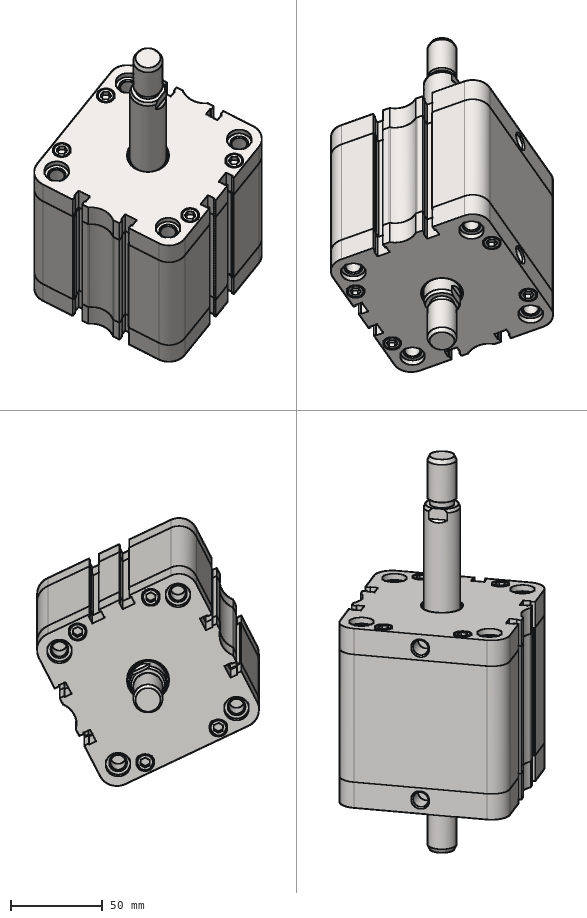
import cadquery as cq
import math


housing_width = 95.5
half_width = housing_width / 2
corner_radius = 10.3
cap_thickness = 15.0
barrel_length = 74.0
housing_length = barrel_length + 2 * cap_thickness

slot_inner_edge = 12.1
side_slot_inner_edge = 6.2
barrel_mouth_width = 5.4
cap_slot_clearance = 0.6
slot_undercut = 0.7
slot_head_height = 4.2
slot_mouth_depth = 2.7
side_slot_mouth_depth = 1.3
slot_mouth_chamfer = 0.6

groove_radius = 25.0 / 2
groove_half_width = 8.0
groove_edge_fillet = 1.2
groove_centre = half_width + math.sqrt(groove_radius**2 - groove_half_width**2)

mount_spacing = 72.0
mount_counterbore_diameter = 13.5
mount_counterbore_depth = 3.5
mount_mouth_diameter = 9.8
mount_hole_diameter = 8.38

screw_spacing_x = 83.0
screw_spacing_y = 44.5
screw_recess_diameter = 9.8
screw_head_diameter = 8.5
screw_gap_depth = 2.0
hex_across_flats = 5.0
hex_depth = 3.0

port_height = 8.0
port_mouth_diameter = 10.3
port_diameter = 8.57
port_depth = 12.0

rod_diameter = 20.0
upper_rod_length = 59.0
lower_rod_length = 9.0
rod_end_chamfer_length = 2.0
rod_end_chamfer = 0.9
wiper_recess_diameter = 21.9
wiper_mouth_diameter = 23.0
wiper_recess_depth = 2.0
thread_length = 28.0
thread_diameter = 16.0
relief_diameter = 13.5
relief_length = 3.0
relief_chamfer_length = 0.6
tip_chamfer_length = 2.6
tip_diameter = 13.5
wrench_width = 17.0
wrench_flat_length = 6.2
wrench_runout = (rod_diameter - wrench_width) / 2


def grid(spacing_x, spacing_y):
    """Four points of a rectangle centred on the axis."""
    return [(sx * spacing_x / 2, sy * spacing_y / 2) for sx in (-1, 1) for sy in (-1, 1)]


def slot_cutter(inner_edge, mouth_width, mouth_depth, length, mouth_chamfer):
    """T-shaped slot in the +Y face, at positive X."""
    outer_edge = inner_edge + mouth_width
    mouth_floor = half_width - mouth_depth
    slot_floor = mouth_floor - slot_head_height
    outline = (
        cq.Workplane("XY")
        .moveTo(inner_edge, half_width)
        .lineTo(inner_edge, mouth_floor)
        .lineTo(inner_edge - slot_undercut, mouth_floor)
        .lineTo(inner_edge - slot_undercut, slot_floor)
        .lineTo(outer_edge + slot_undercut, slot_floor)
        .lineTo(outer_edge + slot_undercut, mouth_floor)
        .lineTo(outer_edge, mouth_floor)
    )
    if mouth_chamfer:
        outline = outline.lineTo(outer_edge, half_width - mouth_chamfer)
    return outline.lineTo(outer_edge + mouth_chamfer, half_width).close().extrude(length)


def both_sides(cutter, plane):
    """Cutter joined with its mirror image."""
    return cutter.union(cutter.mirror(plane))


def groove_cutter(length):
    """Round groove in the +Y face."""
    return cq.Workplane("XY").center(0, groove_centre).circle(groove_radius).extrude(length)


def housing_block(length, mouth_width, mouth_chamfer):
    """Length of the square housing section, with its slots and grooves."""
    block = (
        cq.Workplane("XY")
        .rect(housing_width, housing_width)
        .extrude(length)
        .edges("|Z")
        .fillet(corner_radius)
    )
    face_slot = slot_cutter(
        slot_inner_edge, mouth_width, slot_mouth_depth, length, mouth_chamfer
    )
    face_slots = both_sides(face_slot, "YZ")
    side_slot = slot_cutter(
        side_slot_inner_edge, mouth_width, side_slot_mouth_depth, length, mouth_chamfer
    )
    side_slots = both_sides(side_slot, "YZ").rotate((0, 0, 0), (0, 0, 1), -90)
    grooves = both_sides(groove_cutter(length), "XZ")
    return block.cut(both_sides(face_slots, "XZ")).cut(side_slots).cut(grooves)


def cone_hole(bottom_z, top_z, bottom_diameter, top_diameter):
    """Cutter along Z, tapered between two diameters."""
    return cq.Workplane("XY").add(
        cq.Solid.makeCone(
            bottom_diameter / 2, top_diameter / 2, top_z - bottom_z, pnt=cq.Vector(0, 0, bottom_z)
        )
    )


def make_barrel():
    """Middle section with rounded groove edges and a bore for the rods."""
    barrel = housing_block(barrel_length, barrel_mouth_width, slot_mouth_chamfer)
    for x, y in grid(2 * groove_half_width, housing_width):
        groove_edge = cq.selectors.NearestToPointSelector((x, y, barrel_length / 2))
        barrel = barrel.edges("|Z").edges(groove_edge).fillet(groove_edge_fillet)
    rod_bore = cq.Workplane("XY").circle(rod_diameter / 2).extrude(barrel_length)
    return barrel.cut(rod_bore).translate((0, 0, cap_thickness))


def mount_hole_cutter():
    """Corner hole through the cap: counterbore, then a chamfered thread hole."""
    mouth_z = cap_thickness - mount_counterbore_depth
    chamfer_length = (mount_mouth_diameter - mount_hole_diameter) / 2
    hole = cq.Workplane("XY").circle(mount_hole_diameter / 2).extrude(cap_thickness)
    chamfer = cone_hole(mouth_z - chamfer_length, mouth_z, mount_hole_diameter, mount_mouth_diameter)
    counterbore = (
        cq.Workplane("XY", origin=(0, 0, mouth_z))
        .circle(mount_counterbore_diameter / 2)
        .extrude(mount_counterbore_depth)
    )
    return hole.union(chamfer).union(counterbore)


def screw_cutter():
    """Ring-shaped gap around a screw head, with the hexagon socket in the head."""
    gap = (
        cq.Workplane("XY", origin=(0, 0, cap_thickness - screw_gap_depth))
        .circle(screw_recess_diameter / 2)
        .circle(screw_head_diameter / 2)
        .extrude(screw_gap_depth)
    )
    hex_socket = (
        cq.Workplane("XY", origin=(0, 0, cap_thickness - hex_depth))
        .transformed(rotate=(0, 0, 90))
        .polygon(6, hex_across_flats / math.cos(math.pi / 6))
        .extrude(hex_depth)
    )
    return gap.union(hex_socket)


def port_cutter():
    """Air port in the -X face, chamfered at its mouth."""
    chamfer_length = (port_mouth_diameter - port_diameter) / 2
    hole = cq.Workplane("XY").circle(port_diameter / 2).extrude(port_depth)
    chamfer = cone_hole(0, chamfer_length, port_mouth_diameter, port_diameter)
    return (
        hole.union(chamfer)
        .rotate((0, 0, 0), (0, 1, 0), 90)
        .translate((-half_width, 0, cap_thickness - port_height))
    )


def rod_hole_cutter():
    """Rod hole through the cap, with the wiper recess at the outer face."""
    chamfer_length = (wiper_mouth_diameter - wiper_recess_diameter) / 2
    hole = cq.Workplane("XY").circle(rod_diameter / 2).extrude(cap_thickness)
    recess = (
        cq.Workplane("XY", origin=(0, 0, cap_thickness - wiper_recess_depth))
        .circle(wiper_recess_diameter / 2)
        .extrude(wiper_recess_depth)
    )
    chamfer = cone_hole(
        cap_thickness - chamfer_length, cap_thickness, wiper_recess_diameter, wiper_mouth_diameter
    )
    return hole.union(recess).union(chamfer)


def make_cap():
    """End cap with its inner face at Z = 0 and its outer face up."""
    cap = housing_block(cap_thickness, barrel_mouth_width + cap_slot_clearance, 0)
    for x, y in grid(mount_spacing, mount_spacing):
        cap = cap.cut(mount_hole_cutter().translate((x, y, 0)))
    for x, y in grid(screw_spacing_x, screw_spacing_y):
        cap = cap.cut(screw_cutter().translate((x, y, 0)))
    return cap.cut(port_cutter()).cut(rod_hole_cutter())


def make_rod(exposed_length):
    """Rod pointing up, from the middle of the housing (Z = 0) to its threaded tip."""
    shoulder_z = housing_length / 2 + exposed_length
    relief_end_z = shoulder_z + relief_length
    tip_z = shoulder_z + thread_length
    rod_radius = rod_diameter / 2
    thread_radius = thread_diameter / 2
    rod = (
        cq.Workplane("XZ")
        .moveTo(0, 0)
        .lineTo(rod_radius, 0)
        .lineTo(rod_radius, shoulder_z - rod_end_chamfer_length)
        .lineTo(rod_radius - rod_end_chamfer, shoulder_z)
        .lineTo(relief_diameter / 2, shoulder_z)
        .lineTo(relief_diameter / 2, relief_end_z)
        .lineTo(thread_radius, relief_end_z + relief_chamfer_length)
        .lineTo(thread_radius, tip_z - tip_chamfer_length)
        .lineTo(tip_diameter / 2, tip_z)
        .lineTo(0, tip_z)
        .close()
        .revolve(360, (0, 0, 0), (0, 1, 0))
    )
    flat_end_z = shoulder_z - wrench_flat_length
    wrench_flat = (
        cq.Workplane("XZ")
        .polyline([
            (wrench_width / 2, shoulder_z),
            (wrench_width / 2, flat_end_z),
            (rod_radius, flat_end_z - wrench_runout),
            (rod_radius, shoulder_z),
        ])
        .close()
        .extrude(rod_radius, both=True)
    )
    return rod.cut(both_sides(wrench_flat, "YZ"))


barrel = make_barrel()

upper_cap = make_cap().translate((0, 0, housing_length - cap_thickness))
lower_cap = make_cap().mirror("XY").translate((0, 0, cap_thickness))

upper_rod = make_rod(upper_rod_length).translate((0, 0, housing_length / 2))
lower_rod = make_rod(lower_rod_length).mirror("XY").translate((0, 0, housing_length / 2))

bodies = [barrel, upper_cap, lower_cap, upper_rod, lower_rod]
result = cq.Compound.makeCompound([body.val() for body in bodies])